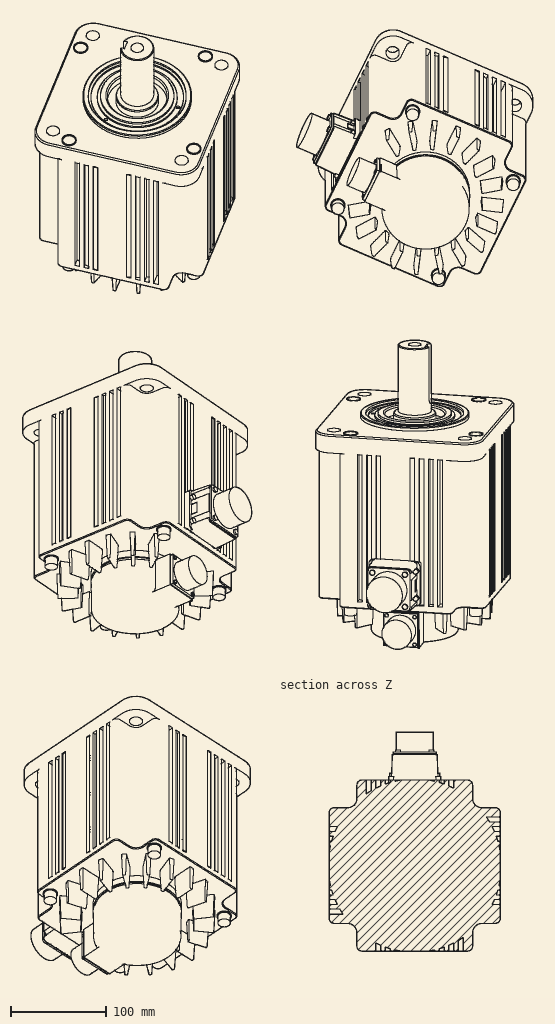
import cadquery as cq


overall_width_y = 230.2
overall_length = 314.0

side = 180.0
half_side = side / 2
flange_thickness = 19.8
flange_corner_radius = 20.0
flange_chamfer = 1.5
body_length = 160.5
cover_thickness = 7.5
cover_chamfer = 1.0
body_bottom = -flange_thickness - body_length
cover_bottom = body_bottom - cover_thickness
notch_face = 61.0
notch_inner_radius = 9.5
lobe_radius = 5.5

groove_start = 15.7
groove_width = 5.0
groove_pitch = 2 * groove_width
grooves_right = 4
grooves_left = 3
groove_floor_radius = 91.0

mount_hole_offset = 70.5
mount_hole_diameter = 13.8
screw_x = 51.0
screw_y = 78.0
screw_diameter = 13.2
screw_head_height = 10.0
washer_diameter = 15.0
washer_thickness = 1.0
screw_ring_outer = 15.0
screw_ring_inner = 13.5
screw_ring_depth = 1.0

pilot_radius = 57.0
pilot_height = 4.0
pilot_chamfer = 1.0
step_inner_radius = 38.5
step_outer_radius = 51.5
step_depth = 2.2
groove_inner_radius = 42.0
groove_outer_radius = 48.7
groove_depth = 4.0
seal_radius = 31.5
seal_chamfer = 1.5
seal_floor = -5.3
pin_hole_circle_radius = 45.0
pin_hole_count = 3
pin_hole_diameter = 3.5
pin_hole_depth = 2.5
shaft_radius = 35.0 / 2
shaft_length = 78.5
shaft_chamfer = 1.0
collar_radius = 22.3
collar_side_top = 2.8
collar_shoulder_radius = 21.7
collar_shoulder = 4.5
collar_top = 6.0
key_width = 10.0
key_depth = 5.0
key_length = 63.0
centre_hole_radius = 6.5
centre_hole_depth = 15.7
centre_hole_cone = 3.8

fin_count = 20
fin_radius = 82.3
fin_inner_radius = 59.0
fin_gap = 3
connector_direction = 90
fin_width = 5.3
fin_length = 28.3
fin_draft = 2.2
fin_tip_radius = 1.3
cap_radius = 46.5
cap_draft = 1.0
cap_bottom = -234.5
cap_fillet = 3.0
cap_neck_radius = 45.0
cap_neck_top = -195.5
cap_neck_bottom = -198.8

power_z = -156.0
power_plate_width = 54.5
power_plate_height = 47.7
power_plate_top = 93.5
power_corner_radius = 3.8
power_box_width = 49.3
power_box_height = 48.5
power_box_top = 116.5
power_box_draft = 2.2
power_flange_side = 45.2
power_flange_top = 119.3
power_flange_chamfer = 1.0
power_socket_radius = 19.5
power_socket_end = overall_width_y - half_side
power_screw_offset = 14.8
power_channel_radius = 3.8
power_screw_radius = 2.8
power_screw_height = 3.5
power_screw_x = 23.5
flange_screw_offset = 17.5
flange_screw_radius = 2.8
flange_screw_height = 2.0
panel_recess_width = 12.2
panel_recess_length = 7.5
panel_recess_depth = 1.0

encoder_z = -215.5
encoder_box_side = 2 * (encoder_z - cap_bottom)
encoder_box_top = 61.5
encoder_flange_side = 36.5
encoder_flange_top = 64.5
encoder_screw_offset = 15.0
encoder_screw_radius = 2.0
encoder_screw_height = 1.3
encoder_socket_radius = 16.0
encoder_socket_end = 83.5
encoder_pip_x = -18.8
encoder_pip_side = 1.0
encoder_pip_bottom = shaft_length - overall_length

corner_signs = [(x, z) for x in (-1, 1) for z in (-1, 1)]


def cylinder(radius, bottom, top, x=0, y=0):
    """Upright cylinder between two heights."""
    return cq.Workplane("XY", origin=(x, y, bottom)).circle(radius).extrude(top - bottom)


def ring(inner, outer, bottom, top, x=0, y=0):
    """Upright tube between two heights."""
    return cq.Workplane("XY", origin=(x, y, bottom)).circle(outer).circle(inner).extrude(top - bottom)


def facing_y(y, z):
    """Plane across the Y axis with its normal along +Y and its second direction along Z."""
    return cq.Workplane(cq.Plane(origin=(0, y, z), xDir=(-1, 0, 0), normal=(0, 1, 0)))


def four_times(solid):
    """Copies of a solid at every quarter turn about the motor axis."""
    copies = solid
    for turn in range(1, 4):
        copies = copies.union(solid.rotate((0, 0, 0), (0, 0, 1), 90 * turn))
    return copies


def quarter_turned(x, y, turn):
    """Point turned about the origin by a number of quarter turns."""
    for _ in range(turn):
        x, y = -y, x
    return x, y


def frame_prism(bottom, top):
    """Square prism with a rounded notch at each corner."""
    lobe_end = notch_face - lobe_radius
    lobe_tip = half_side - lobe_radius
    notch_end = notch_face + notch_inner_radius
    outline = cq.Workplane("XY", origin=(0, 0, bottom)).moveTo(half_side, lobe_end)
    for turn in range(4):
        if turn:
            outline = outline.lineTo(*quarter_turned(half_side, lobe_end, turn))
        outline = (
            outline.radiusArc(quarter_turned(lobe_tip, notch_face, turn), -lobe_radius)
            .lineTo(*quarter_turned(notch_end, notch_face, turn))
            .radiusArc(quarter_turned(notch_face, notch_end, turn), notch_inner_radius)
            .lineTo(*quarter_turned(notch_face, lobe_tip, turn))
            .radiusArc(quarter_turned(lobe_end, half_side, turn), -lobe_radius)
        )
    return outline.close().extrude(top - bottom)


def body():
    """Grooved body; the groove floors lie on one cylinder about the axis."""
    starts = [groove_start + groove_pitch * i for i in range(grooves_right)]
    starts += [-start - groove_width for start in starts[:grooves_left]]
    centres = [(start + groove_width / 2, -half_side) for start in starts]
    grooves = (
        cq.Workplane("XY", origin=(0, 0, body_bottom))
        .pushPoints(centres)
        .rect(groove_width, half_side)
        .extrude(body_length)
        .cut(cylinder(groove_floor_radius, body_bottom, -flange_thickness))
    )
    return frame_prism(body_bottom, -flange_thickness).cut(four_times(grooves))


def cover():
    """Rear cover with the same notched outline and no grooves."""
    return frame_prism(cover_bottom, body_bottom).faces("<Z").edges().chamfer(cover_chamfer)


def flange():
    """Square mounting flange with the raised pilot, its stepped ring groove and the seal pocket."""
    plate = (
        cq.Workplane("XY")
        .rect(side, side)
        .extrude(-flange_thickness)
        .edges("|Z")
        .fillet(flange_corner_radius)
        .faces(">Z")
        .edges()
        .chamfer(flange_chamfer)
    )
    hole = cylinder(mount_hole_diameter / 2, -flange_thickness, 0, mount_hole_offset, mount_hole_offset)
    screw_ring = ring(
        screw_ring_inner / 2, screw_ring_outer / 2, -screw_ring_depth, 0, screw_x, screw_y
    )
    plate = plate.cut(four_times(hole)).cut(four_times(screw_ring))

    pilot = cylinder(pilot_radius, 0, pilot_height).faces(">Z").edges().chamfer(pilot_chamfer)
    plate = plate.union(pilot)
    groove_floor = pilot_height - groove_depth
    step = ring(step_inner_radius, step_outer_radius, pilot_height - step_depth, pilot_height)
    groove = ring(groove_inner_radius, groove_outer_radius, groove_floor, pilot_height)
    pin_holes = (
        cq.Workplane("XY", origin=(0, 0, groove_floor - pin_hole_depth))
        .polarArray(pin_hole_circle_radius, 0, 360, pin_hole_count)
        .circle(pin_hole_diameter / 2)
        .extrude(pin_hole_depth)
    )
    plate = plate.cut(step).cut(groove).cut(pin_holes)
    seal_pocket = cylinder(seal_radius, seal_floor, pilot_height)
    seal_lead_in = (
        cq.Workplane("XY", origin=(0, 0, pilot_height))
        .circle(seal_radius + seal_chamfer)
        .extrude(-seal_chamfer, taper=45)
    )
    return plate.cut(seal_pocket).cut(seal_lead_in)


def shaft():
    """Shaft with its conical collar, open-ended keyway and centre hole."""
    profile = (
        cq.Workplane("XZ")
        .moveTo(0, -flange_thickness)
        .lineTo(collar_radius, -flange_thickness)
        .lineTo(collar_radius, collar_side_top)
        .lineTo(collar_shoulder_radius, collar_shoulder)
        .lineTo(shaft_radius, collar_top)
        .lineTo(shaft_radius, shaft_length - shaft_chamfer)
        .lineTo(shaft_radius - shaft_chamfer, shaft_length)
        .lineTo(centre_hole_radius, shaft_length)
        .lineTo(centre_hole_radius, shaft_length - centre_hole_depth)
        .lineTo(0, shaft_length - centre_hole_depth - centre_hole_cone)
        .close()
    )
    round_shaft = profile.revolve(360, (0, 0, 0), (0, 1, 0))
    key_end = shaft_length - key_length + key_width / 2
    keyway = (
        cq.Workplane("YZ", origin=(-shaft_radius, 0, 0))
        .moveTo(key_width / 2, shaft_length)
        .lineTo(key_width / 2, key_end)
        .threePointArc((0, shaft_length - key_length), (-key_width / 2, key_end))
        .lineTo(-key_width / 2, shaft_length)
        .close()
        .extrude(key_depth)
    )
    return round_shaft.cut(keyway)


def rear_fins():
    """Radial drafted fins with rounded tips below the cover; none over the encoder connector."""
    fin = (
        cq.Workplane("XY", origin=(0, 0, cover_bottom))
        .center((fin_inner_radius + fin_radius) / 2, 0)
        .rect(fin_radius - fin_inner_radius, fin_width)
        .extrude(-fin_length, taper=fin_draft)
        .faces("<Z")
        .edges("|X")
        .fillet(fin_tip_radius)
    )
    pitch = 360 / fin_count
    first_angle = connector_direction + pitch * (fin_gap + 1) / 2
    fins = cq.Workplane("XY")
    for i in range(fin_count - fin_gap):
        fins = fins.add(fin.rotate((0, 0, 0), (0, 0, 1), first_angle + pitch * i))
    return fins.combine()


def encoder_cap():
    """Round drafted cap on a shouldered neck."""
    cap = (
        cq.Workplane("XY", origin=(0, 0, cap_neck_bottom))
        .circle(cap_radius)
        .extrude(cap_bottom - cap_neck_bottom, taper=cap_draft)
        .faces("<Z")
        .edges()
        .fillet(cap_fillet)
    )
    neck = cylinder(cap_neck_radius, cap_neck_bottom, cap_neck_top)
    shoulder = cylinder(cap_radius, cap_neck_top, cover_bottom)
    return cap.union(neck).union(shoulder)


def rear_screws():
    """Heads and washers of the four frame screws below the cover."""
    bottom = cover_bottom - screw_head_height
    head = cylinder(screw_diameter / 2, bottom, cover_bottom, screw_x, screw_y)
    washer_bottom = cover_bottom - washer_thickness
    washer = cylinder(washer_diameter / 2, washer_bottom, cover_bottom, screw_x, screw_y)
    return four_times(head.union(washer))


def power_connector():
    """Screwed-on connector: base plate, drafted box, flange and round socket."""
    plate = (
        facing_y(notch_face, power_z)
        .rect(power_plate_width, power_plate_height)
        .extrude(power_plate_top - notch_face)
        .edges("|Y")
        .fillet(power_corner_radius)
    )
    box = (
        facing_y(half_side, power_z)
        .rect(power_box_width, power_box_height)
        .extrude(power_box_top - half_side, taper=power_box_draft)
        .edges("not (|X or |Z)")
        .fillet(power_corner_radius)
    )
    box_screws = [(x * power_screw_x, z * power_screw_offset) for x, z in corner_signs]
    channels = (
        facing_y(power_plate_top, power_z)
        .pushPoints(box_screws)
        .circle(power_channel_radius)
        .extrude(power_box_top - power_plate_top)
    )
    recesses = (
        facing_y(power_plate_top, power_z)
        .pushPoints([(-power_box_width / 2, 0), (power_box_width / 2, 0)])
        .rect(2 * panel_recess_depth, panel_recess_width)
        .extrude(panel_recess_length)
    )
    screws = (
        facing_y(power_plate_top, power_z)
        .pushPoints(box_screws)
        .circle(power_screw_radius)
        .extrude(power_screw_height)
    )
    socket_flange = (
        facing_y(power_box_top, power_z)
        .rect(power_flange_side, power_flange_side)
        .extrude(power_flange_top - power_box_top)
        .edges("|Y")
        .fillet(power_corner_radius)
        .faces("<Y")
        .edges()
        .chamfer(power_flange_chamfer)
    )
    flange_screws = (
        facing_y(power_flange_top, power_z)
        .pushPoints([(x * flange_screw_offset, z * flange_screw_offset) for x, z in corner_signs])
        .circle(flange_screw_radius)
        .extrude(flange_screw_height)
    )
    socket = (
        facing_y(power_flange_top, power_z)
        .circle(power_socket_radius)
        .extrude(power_socket_end - power_flange_top)
    )
    box = box.cut(channels).cut(recesses)
    return plate.union(box).union(screws).union(socket_flange).union(flange_screws).union(socket)


def encoder_connector():
    """Connector on the cap: box, flange, round socket and a small pip at the lower corner."""
    box = (
        facing_y(0, encoder_z)
        .rect(encoder_box_side, encoder_box_side)
        .extrude(encoder_box_top)
    )
    socket_flange = (
        facing_y(encoder_box_top, encoder_z)
        .rect(encoder_flange_side, encoder_flange_side)
        .extrude(encoder_flange_top - encoder_box_top)
    )
    socket = (
        facing_y(encoder_flange_top, encoder_z)
        .circle(encoder_socket_radius)
        .extrude(encoder_socket_end - encoder_flange_top)
    )
    screws = (
        facing_y(encoder_flange_top, encoder_z)
        .pushPoints([(x * encoder_screw_offset, z * encoder_screw_offset) for x, z in corner_signs])
        .circle(encoder_screw_radius)
        .extrude(encoder_screw_height)
    )
    pip_y = encoder_box_top - encoder_pip_side
    pip = (
        cq.Workplane("XY", origin=(encoder_pip_x, pip_y, encoder_pip_bottom))
        .rect(encoder_pip_side, encoder_pip_side)
        .extrude(encoder_z - encoder_pip_bottom)
    )
    return box.union(socket_flange).union(screws).union(socket).union(pip)


result = (
    body()
    .union(cover())
    .union(flange())
    .union(shaft())
    .union(rear_fins())
    .union(rear_screws())
    .union(encoder_cap())
    .union(power_connector())
    .union(encoder_connector())
)